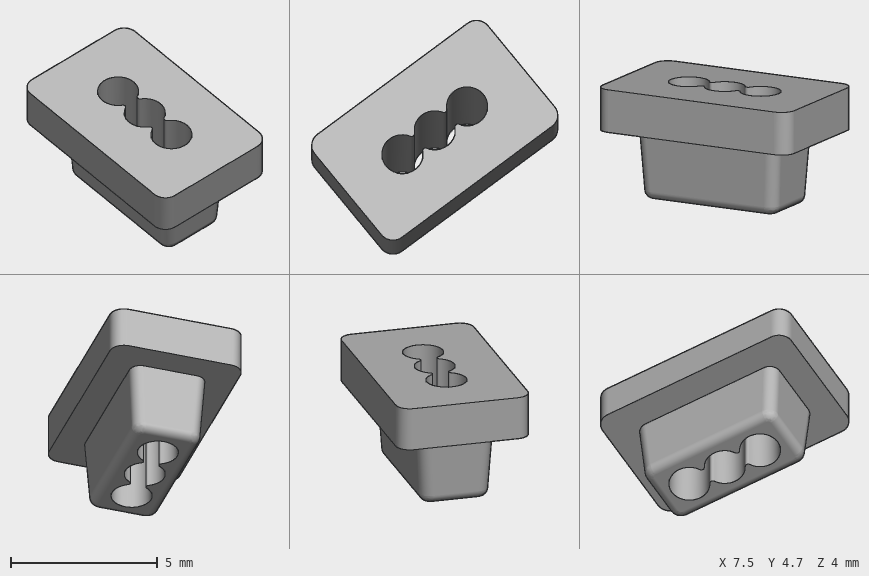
import cadquery as cq
import math

FLANGE_LENGTH = 7.5
FLANGE_WIDTH = 4.7
FLANGE_THICKNESS = 1.5
FLANGE_CORNER_RADIUS = 0.5

TOTAL_HEIGHT = 4.0
PLUG_LENGTH = 5.5
PLUG_WIDTH = 2.7
PLUG_CORNER_RADIUS = 0.4
PLUG_DRAFT_ANGLE = 3.5
PLUG_EDGE_RADIUS = 0.3
PLUG_HEIGHT = TOTAL_HEIGHT - FLANGE_THICKNESS

HOLE_COUNT = 3
HOLE_RADIUS = 0.7
HOLE_PITCH = 2 * HOLE_RADIUS
NECK_TIP_RADIUS = 0.1


def make_flange():
    """Flat plate with rounded vertical corners, its underside on Z = 0."""
    plate = cq.Workplane("XY").rect(FLANGE_LENGTH, FLANGE_WIDTH).extrude(FLANGE_THICKNESS)
    return plate.edges("|Z").fillet(FLANGE_CORNER_RADIUS)


def make_plug():
    """Drafted block hanging from the flange, with rounded corners and bottom rim."""
    block = (
        cq.Workplane("XY")
        .rect(PLUG_LENGTH, PLUG_WIDTH)
        .extrude(-PLUG_HEIGHT, taper=PLUG_DRAFT_ANGLE)
    )
    block = block.edges("not(#Z)").fillet(PLUG_CORNER_RADIUS)
    return block.faces("<Z").edges().fillet(PLUG_EDGE_RADIUS)


def make_opening():
    """Through opening: a row of holes whose shared walls are rounded into necks.

    Each neck tip is an arc tangent to the two holes beside it.
    """
    half_pitch = HOLE_PITCH / 2
    center_distance = HOLE_RADIUS + NECK_TIP_RADIUS
    tip_center_y = math.sqrt(center_distance**2 - half_pitch**2)
    tip_y = tip_center_y - NECK_TIP_RADIUS
    tangent_x = half_pitch * NECK_TIP_RADIUS / center_distance
    tangent_y = tip_center_y * HOLE_RADIUS / center_distance

    first_hole_x = -half_pitch * (HOLE_COUNT - 1)
    last_hole_x = -first_hole_x
    neck_centers = [first_hole_x + half_pitch + i * HOLE_PITCH for i in range(HOLE_COUNT - 1)]

    outline = cq.Workplane("XY", origin=(0, 0, -PLUG_HEIGHT))
    outline = outline.moveTo(first_hole_x - HOLE_RADIUS, 0)
    for side in (1, -1):
        for neck_x in [side * x for x in neck_centers]:
            outline = outline.threePointArc(
                (neck_x - side * half_pitch, side * HOLE_RADIUS),
                (neck_x - side * tangent_x, side * tangent_y),
            )
            outline = outline.threePointArc(
                (neck_x, side * tip_y),
                (neck_x + side * tangent_x, side * tangent_y),
            )
        outline = outline.threePointArc(
            (side * last_hole_x, side * HOLE_RADIUS),
            (side * (last_hole_x + HOLE_RADIUS), 0),
        )
    return outline.close().extrude(TOTAL_HEIGHT)


result = make_flange().union(make_plug()).cut(make_opening())